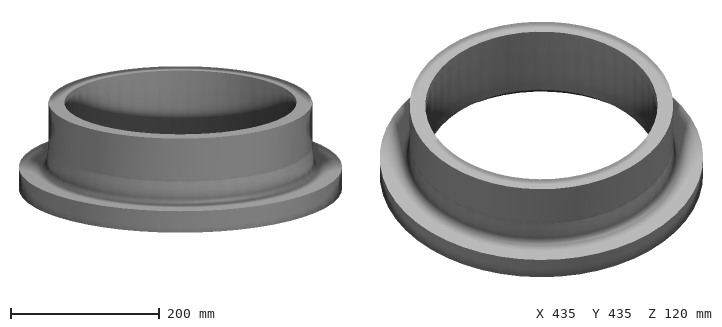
import cadquery as cq

flange_diameter = 435.0
flange_thickness = 30.0

total_height = 120.0
pipe_diameter = 354.5
bore_diameter = 312.5
pipe_length = 60.0

neck_base_diameter = 362.0
root_fillet_radius = 8.0

bore_chamfer = 19.0

neck_top = total_height - pipe_length

section = (
    cq.Workplane("XZ")
    .moveTo(bore_diameter / 2, 0)
    .lineTo(flange_diameter / 2, 0)
    .lineTo(flange_diameter / 2, flange_thickness)
    .lineTo(neck_base_diameter / 2, flange_thickness)
    .lineTo(pipe_diameter / 2, neck_top)
    .lineTo(pipe_diameter / 2, total_height)
    .lineTo(bore_diameter / 2, total_height)
    .close()
)
body = section.revolve(360, (0, 0, 0), (0, 1, 0))

neck_root = cq.selectors.RadiusNthSelector(2)
body = body.edges(neck_root).fillet(root_fillet_radius)

result = body.faces("<Z").edges(cq.selectors.RadiusNthSelector(0)).chamfer(bore_chamfer)